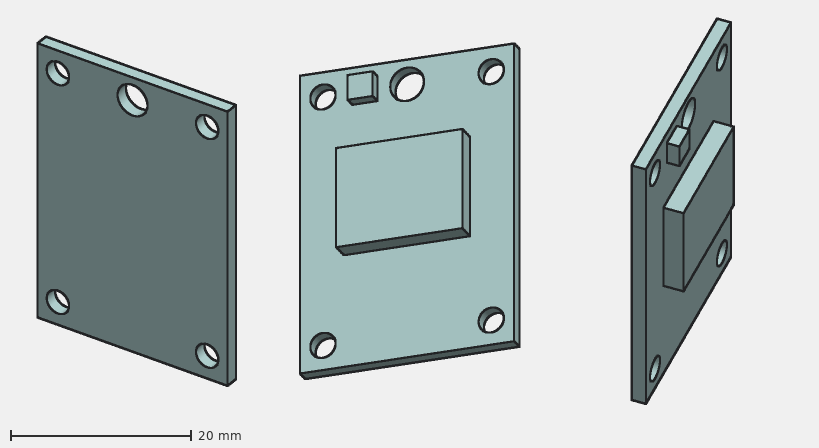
import cadquery as cq

plate_width = 25.5
plate_height = 36.0
plate_thickness = 1.7
total_depth = 4.1

mount_hole_diameter = 3.0
mount_hole_spacing = 20.0
centre_hole_diameter = 4.0
hole_edge_distance = 3.0
hole_height = plate_height / 2 - hole_edge_distance

block_width = 15.0
block_height = 12.0
block_top_distance = 10.5
block_depth = total_depth - plate_thickness
block_z = plate_height / 2 - block_top_distance - block_height / 2

small_block_size = 3.0
small_block_depth = 1.5
small_block_x = 5.0


def box_from_front(width, depth, height, x, front_y, z):
    """Box centred at x and z, reaching backwards from front_y."""
    box = cq.Workplane("XY").box(width, depth, height, centered=(True, False, True))
    return box.translate((x, front_y, z))


def through_hole(diameter, x, z):
    """Cylinder along Y that passes through the plate."""
    circle = cq.Workplane("XZ").center(x, z).circle(diameter / 2)
    return circle.extrude(-plate_thickness)


plate = box_from_front(plate_width, plate_thickness, plate_height, 0, 0, 0)
for side in (-1, 1):
    for level in (-1, 1):
        hole_x = side * mount_hole_spacing / 2
        plate = plate.cut(through_hole(mount_hole_diameter, hole_x, level * hole_height))
plate = plate.cut(through_hole(centre_hole_diameter, 0, hole_height))

block = box_from_front(block_width, block_depth, block_height, 0, plate_thickness, block_z)
small_block = box_from_front(
    small_block_size, small_block_depth, small_block_size,
    small_block_x, plate_thickness, hole_height,
)

result = plate.union(block).union(small_block)